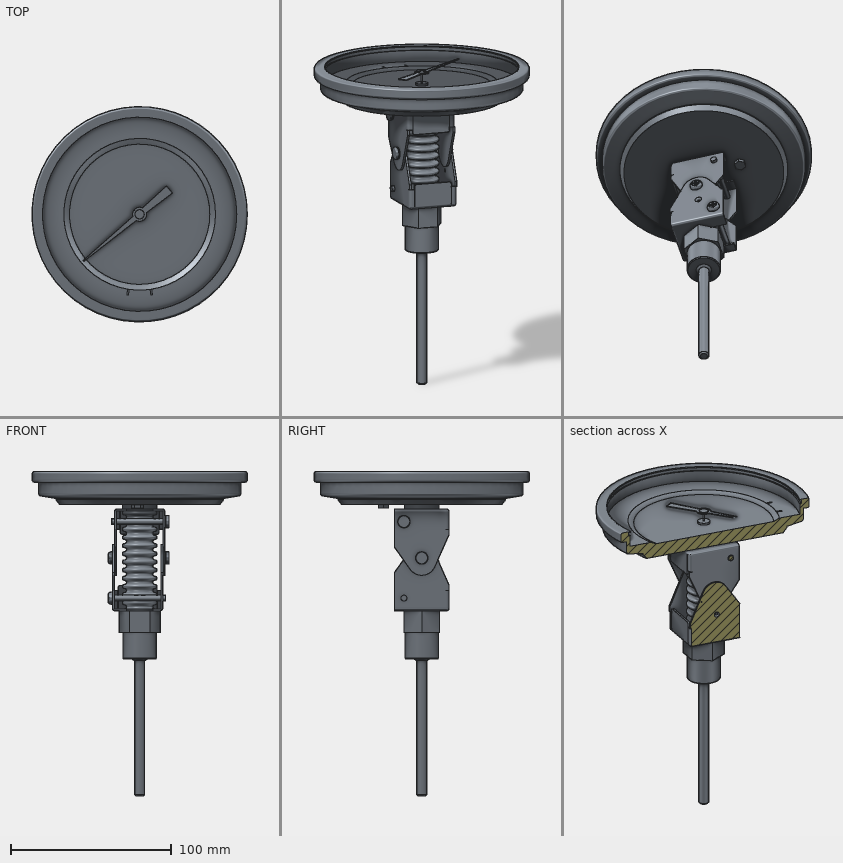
import cadquery as cq
import math


total_length = 202.18
case_top = 55.1
stem_tip = case_top - total_length

bezel_radius = 134.11 / 2
bezel_height = 6.8
bezel_round = 1.6
body_radius = 126.24 / 2
body_round = 1.8
body_bottom = case_top - 15.4
cone_end_radius = 52.3
cone_end = case_top - 16.9
cone_step = 0.7
case_floor_radius = 49.8
case_bottom = case_top - 20.75
groove_radius = 122.83 / 2
cavity_radius = 120.9 / 2
lip_thickness = 0.75
groove_bottom = case_top - 3.0
scale_plate = case_top - 10.0
recess_rim_radius = 47.2
recess_floor_radius = 43.65
recess_floor = scale_plate - 1.6

pointer_top = recess_floor + 8.0
pointer_thickness = 0.5
pointer_hub_radius = 4.4
pointer_angle = 219.7
pointer_reach = 45.5
pointer_root_width = 3.6
pointer_tip_width = 0.7
tail_reach = 24.1
tail_end_width = 5.8
cap_radius = 5.75 / 2
cap_height = 0.2
pin_radius = 0.76 / 2
boss_radius = 7.62 / 2
boss_height = 1.25

mark_angle = 8.5
mark_outer_radius = 50.7
mark_width = 1.0
mark_height = 0.1

bellows_radius = 21.59 / 2
bellows_pitch = 5.08
bellows_waves = 12
bellows_valley_radius = bellows_radius - bellows_pitch / 2

sheet = 1.27
bracket_width = 31.5
bracket_depth = 34.2
bracket_top = 31.75
bend_radius = 1.9
rear_edge_bottom = 15.8
front_edge_bottom = 8.0
pivot_offset = 0.7
ear_radius = 8.9
flange_bottom = 19.0
tab_width = 24.2
tab_bottom = 15.9
tab_corner_radius = 1.3
tab_gap = 0.15
half_width = bracket_width / 2
half_depth = bracket_depth / 2
lower_bracket_shift = -sheet
spare_hole_diameter = 4.2
spare_hole_pilot = 1.6
spare_hole_y = -1.2
spare_hole_z = -12.5

bolt_radius = 3.68 / 2
bolt_length = 33.2
bolt_y = -11.1
bolt_z = 23.8
pivot_screw_z = 1.2
head_radius = 7.75 / 2
head_height = 2.55
head_rim_height = 0.9
head_shoulder_height = 1.95
head_shoulder_radius = 3.4
head_flat_radius = 2.6
nut_neck_radius = 3.6
nut_neck_height = 0.8
nut_round = 0.5
cross_length = 4.6
cross_width = 0.9
cross_depth = 1.2

adjuster_flats = 6.35
adjuster_height = 2.2
adjuster_x = -1.3
adjuster_y = -23.75

hex_flats = 22.225
hex_bottom = -45.3
pipe_radius = 20.87 / 2
pipe_bottom = -61.8
pipe_chamfer = 0.6
collar_radius = 4.8
collar_bottom = pipe_bottom - 0.9
stem_radius = 6.35 / 2
tip_chamfer = 1.0


def hexagon(across_flats):
    """Hexagonal outline on the XY plane with two corners on the X axis."""
    return cq.Workplane("XY").polygon(6, across_flats / math.cos(math.pi / 6))


def cylinder(radius, bottom, top):
    return cq.Workplane("XY").workplane(offset=bottom).circle(radius).extrude(top - bottom)


def make_case():
    """Revolved cup: bezel, body, conical back, grooved window opening and recessed dial."""
    bezel_bottom = case_top - bezel_height
    bezel_inset = bezel_round * (1 - math.sqrt(0.5))
    body_inset = body_round * (1 - math.sqrt(0.5))
    half_profile = (
        cq.Workplane("XZ")
        .moveTo(0, case_bottom)
        .lineTo(case_floor_radius, case_bottom)
        .lineTo(cone_end_radius, cone_end - cone_step)
        .lineTo(cone_end_radius, cone_end)
        .lineTo(body_radius - body_round, body_bottom)
        .threePointArc(
            (body_radius - body_inset, body_bottom + body_inset),
            (body_radius, body_bottom + body_round),
        )
        .lineTo(body_radius, bezel_bottom)
        .lineTo(bezel_radius - bezel_round, bezel_bottom)
        .threePointArc(
            (bezel_radius - bezel_inset, bezel_bottom + bezel_inset),
            (bezel_radius, bezel_bottom + bezel_round),
        )
        .lineTo(bezel_radius, case_top - bezel_round)
        .threePointArc(
            (bezel_radius - bezel_inset, case_top - bezel_inset),
            (bezel_radius - bezel_round, case_top),
        )
        .lineTo(cavity_radius, case_top)
        .lineTo(cavity_radius, case_top - lip_thickness)
        .lineTo(groove_radius, case_top - lip_thickness)
        .lineTo(groove_radius, groove_bottom)
        .lineTo(cavity_radius, groove_bottom)
        .lineTo(cavity_radius, scale_plate)
        .lineTo(recess_rim_radius, scale_plate)
        .lineTo(recess_floor_radius, recess_floor)
        .lineTo(0, recess_floor)
        .close()
    )
    return half_profile.revolve(360, (0, 0, 0), (0, 1, 0))


def make_pointer():
    """Tapered needle and tail on a hub, carried above the dial by a thin pin."""
    blade = (
        cq.Workplane("XY")
        .workplane(offset=pointer_top - pointer_thickness)
        .moveTo(-tail_reach, -tail_end_width / 2)
        .lineTo(0, -pointer_root_width / 2)
        .lineTo(pointer_reach, -pointer_tip_width / 2)
        .lineTo(pointer_reach, pointer_tip_width / 2)
        .lineTo(0, pointer_root_width / 2)
        .lineTo(-tail_reach, tail_end_width / 2)
        .close()
        .extrude(pointer_thickness)
        .rotate((0, 0, 0), (0, 0, 1), pointer_angle)
    )
    hub = cylinder(pointer_hub_radius, pointer_top - pointer_thickness, pointer_top)
    cap = cylinder(cap_radius, pointer_top, pointer_top + cap_height)
    pin = cylinder(pin_radius, recess_floor, pointer_top)
    boss = cylinder(boss_radius, recess_floor, recess_floor + boss_height)
    return blade.union(hub).union(cap).union(pin).union(boss)


def make_scale_mark(angle):
    """Short radial mark from the recess rim outwards; the angle is measured from -Y."""
    mark_length = mark_outer_radius - recess_rim_radius
    return (
        cq.Workplane("XY")
        .box(mark_width, mark_length, mark_height, centered=(True, False, False))
        .translate((0, -mark_outer_radius, scale_plate))
        .rotate((0, 0, 0), (0, 0, 1), angle)
    )


def make_bellows():
    """Solid of revolution with semicircular valleys and crests in turn."""
    wave_radius = bellows_pitch / 4
    mean_radius = bellows_radius - wave_radius
    bottom = -bellows_waves * bellows_pitch / 2
    profile = cq.Workplane("XZ").moveTo(0, bottom).lineTo(mean_radius, bottom)
    for half_wave in range(2 * bellows_waves):
        start = bottom + half_wave * bellows_pitch / 2
        side = 1 if half_wave % 2 else -1
        profile = profile.threePointArc(
            (mean_radius + side * wave_radius, start + wave_radius),
            (mean_radius, start + 2 * wave_radius),
        )
    return profile.lineTo(0, -bottom).close().revolve(360, (0, 0, 0), (0, 1, 0))


def tangent_point(corner, center, radius, turn):
    """Point where the line from a corner touches a circle, on the side given by turn (+1 or -1)."""
    dx = corner[0] - center[0]
    dy = corner[1] - center[1]
    angle = math.atan2(dy, dx) + turn * math.acos(radius / math.hypot(dx, dy))
    return (center[0] + radius * math.cos(angle), center[1] + radius * math.sin(angle))


def bracket_side_outline():
    """Prism along X with the side shape of a bracket: square top and a tapered, rounded ear."""
    ear_center = (0, -pivot_offset)
    front_corner = (-half_depth, front_edge_bottom)
    rear_corner = (half_depth, rear_edge_bottom)
    return (
        cq.Workplane("YZ")
        .workplane(offset=-half_width)
        .moveTo(-half_depth, bracket_top)
        .lineTo(*front_corner)
        .lineTo(*tangent_point(front_corner, ear_center, ear_radius, 1))
        .threePointArc(
            (0, -pivot_offset - ear_radius),
            tangent_point(rear_corner, ear_center, ear_radius, -1),
        )
        .lineTo(*rear_corner)
        .lineTo(half_depth, bracket_top)
        .close()
        .extrude(bracket_width)
    )


def bracket_block(inset, bottom, front):
    """Block inset from the bracket's outer faces."""
    rear = half_depth - inset
    top = bracket_top - inset
    return (
        cq.Workplane("XY")
        .box(2 * (half_width - inset), rear - front, top - bottom, centered=(True, False, False))
        .translate((0, front, bottom))
    )


def make_bracket():
    """Upper bracket: web, two eared walls, rear flanges bent from the walls and a tab from the web."""
    ear_bottom = -pivot_offset - ear_radius
    outer_block = (
        bracket_block(0, flange_bottom, -half_depth)
        .edges("(|Z and >Y) or (|Y and >Z) or (|X and >Y and >Z)")
        .fillet(bend_radius)
    )
    shell = outer_block.cut(bracket_block(sheet, flange_bottom - sheet, -half_depth - sheet))

    wall_height = flange_bottom - ear_bottom
    for side in (-1, 1):
        wall = cq.Workplane("XY").box(sheet, bracket_depth, wall_height)
        wall_x = side * (half_width - sheet / 2)
        shell = shell.union(wall.translate((wall_x, 0, ear_bottom + wall_height / 2)))
    bracket = shell.intersect(bracket_side_outline())

    tab_height = bracket_top - bend_radius - tab_bottom
    tab = (
        cq.Workplane("XY")
        .box(tab_width, sheet, tab_height)
        .edges("|Y and <Z")
        .fillet(tab_corner_radius)
        .translate((0, half_depth - sheet / 2, tab_bottom + tab_height / 2))
    )
    bracket = bracket.union(tab)
    for side in (-1, 1):
        gap = cq.Workplane("XY").box(tab_gap, 2 * sheet, tab_height)
        gap_x = side * (tab_width + tab_gap) / 2
        bracket = bracket.cut(gap.translate((gap_x, half_depth, tab_bottom + tab_height / 2)))
    return bracket


def make_web_slot(bottom):
    """Cutter for the slot, open to the front, where a bracket web slides over the bellows end."""
    throat = (
        cq.Workplane("XY")
        .box(2 * bellows_valley_radius, half_depth, sheet, centered=(True, False, False))
        .translate((0, -half_depth, bottom))
    )
    return cylinder(bellows_valley_radius, bottom, bottom + sheet).union(throat)


def make_spare_hole():
    """Countersunk hole cutter for the -X wall of the lower bracket."""
    outer_face = lower_bracket_shift - half_width
    cone = cq.Solid.makeCone(
        spare_hole_diameter / 2,
        spare_hole_pilot / 2,
        sheet,
        cq.Vector(outer_face, spare_hole_y, spare_hole_z),
        cq.Vector(1, 0, 0),
    )
    return cq.Workplane(obj=cone)


def make_screw_head():
    """Domed cross-recess head on the X = 0 face, pointing to -X."""
    head = (
        cq.Workplane("XY")
        .moveTo(0, 0)
        .lineTo(0, head_radius)
        .lineTo(-head_rim_height, head_radius)
        .threePointArc(
            (-head_shoulder_height, head_shoulder_radius),
            (-head_height, head_flat_radius),
        )
        .lineTo(-head_height, 0)
        .close()
        .revolve(360, (0, 0, 0), (1, 0, 0))
    )
    bar = cq.Workplane("XY").box(2 * cross_depth, cross_length, cross_width)
    cross = bar.union(bar.rotate((0, 0, 0), (1, 0, 0), 90))
    return head.cut(cross.translate((-head_height, 0, 0)))


def make_nut():
    """Plain round nut with a narrower neck on the X = 0 face, pointing to +X."""
    neck_part = cq.Workplane("YZ").circle(nut_neck_radius).extrude(nut_neck_height)
    rim = (
        cq.Workplane("YZ")
        .workplane(offset=nut_neck_height)
        .circle(head_radius)
        .extrude(head_height - nut_neck_height)
        .faces(">X")
        .edges()
        .fillet(nut_round)
    )
    return neck_part.union(rim)


def make_screws():
    """Two long cross bolts, and two pivots: domed heads on the left side, nuts on the right."""
    left_face = lower_bracket_shift - half_width
    right_face = half_width
    left_head = make_screw_head().translate((left_face, 0, 0))
    right_nut = make_nut().translate((right_face, 0, 0))
    bolt = cq.Workplane("YZ").circle(bolt_radius).extrude(bolt_length)

    lower_bolt = left_head.union(bolt.translate((left_face, 0, 0))).translate((0, bolt_y, -bolt_z))
    upper_bolt = right_nut.union(bolt.translate((right_face - bolt_length, 0, 0)))
    upper_bolt = upper_bolt.translate((0, bolt_y, bolt_z))
    pivot_shift = (0, 0, pivot_screw_z)
    return [lower_bolt, upper_bolt, left_head.translate(pivot_shift), right_nut.translate(pivot_shift)]


def make_adjuster():
    prism = hexagon(adjuster_flats).extrude(adjuster_height)
    return prism.translate((adjuster_x, adjuster_y, case_bottom - adjuster_height))


def make_fitting():
    """Hexagon and pipe end below the lower bracket."""
    hexagon_height = -bracket_top - hex_bottom
    nut = hexagon(hex_flats).extrude(hexagon_height).translate((0, 0, hex_bottom))
    pipe = cylinder(pipe_radius, pipe_bottom, hex_bottom).faces("<Z").chamfer(pipe_chamfer)
    return nut.union(pipe)


def make_stem():
    """Sensing stem with a small tapered collar at its root and a chamfered tip."""
    stem = cylinder(stem_radius, stem_tip, pipe_bottom).faces("<Z").chamfer(tip_chamfer)
    collar = cq.Solid.makeCone(
        collar_radius,
        stem_radius,
        pipe_bottom - collar_bottom,
        cq.Vector(0, 0, pipe_bottom),
        cq.Vector(0, 0, -1),
    )
    return stem.union(cq.Workplane(obj=collar))


bracket = make_bracket()
upper_bracket = bracket.cut(make_web_slot(bracket_top - sheet))
lower_bracket = (
    bracket.rotate((0, 0, 0), (0, 1, 0), 180)
    .translate((lower_bracket_shift, 0, 0))
    .cut(make_web_slot(-bracket_top))
    .cut(make_spare_hole())
)
neck = cylinder(bellows_radius, bracket_top, case_bottom)
core = cylinder(bellows_valley_radius, -bracket_top, bracket_top)

result = make_case().union(make_pointer())
for angle in (-mark_angle, mark_angle):
    result = result.union(make_scale_mark(angle))
parts = [neck, core, upper_bracket, lower_bracket, make_bellows()]
parts += [make_adjuster(), make_fitting(), make_stem()]
parts += make_screws()
for part in parts:
    result = result.union(part)